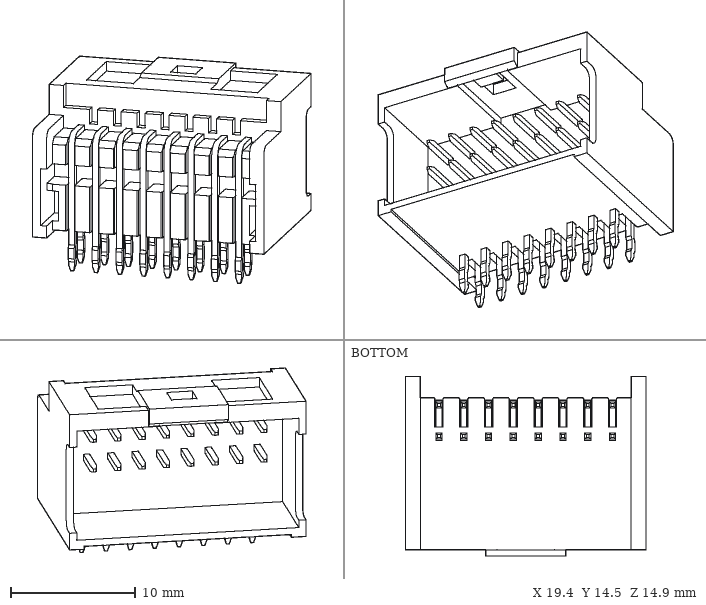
import cadquery as cq
import math


width = 19.4
body_depth = 13.99
body_height = 11.45
step_y = 4.99
wing_height = 8.95
wing_thickness = 1.2
wing_radius = 0.7
underside_relief = 0.23
notch_depth = 1.45
notch_bottom = 1.42
notch_top = 8.67
notch_radius = 0.7

tab_width = 6.48
tab_rise = 0.25
tab_overhang = 0.5
tab_slope_start = 8.96
tab_slope_length = 0.5
tab_end_bottom = 10.44
tab_root_bottom = 10.07
pocket_outer_x = 7.15
pocket_front_y = 7.12
pocket_back_y = 12.94
pocket_depth = 0.8
window_width = 2.1
window_front_y = 10.4
window_length = 2.0

cavity_wall = 0.6
cavity_floor = 0.8
cavity_ceiling = 10.03
cavity_front_y = 6.98
channel_width = 4.65
channel_ceiling = 10.7
hook_bottom = 10.35

recess_back_y = 5.7
recess_bottom = 9.6
castle_slot_width = 0.65
castle_slot_bottom = 8.4

comb_front_y = 1.7
comb_top = 7.9
comb_chamfer = 0.5
gap_bottom = 4.05
gap_top = 5.76
gap_back_y = 4.07
ear_reach = 0.5
ear_bottom = 3.5
ear_front_y = 1.82
side_notch_width = 1.0
side_notch_bottom = 1.0
slot_width = 0.64
slot_lead_x = 0.08
slot_lead_y = 0.12

pin_count = 8
pin_pitch = 2.0
pin_size = 0.5
pin_bend_radius = 1.0
pin_tip_size = 0.23
pin_tip_z = -3.2
pin_taper_z = -2.7
pin_end_y = 10.57
pin_end_taper = 0.5
row_pitch = 2.5
front_row_y = 2.3
front_row_z = 8.01
front_row_bow = -0.14
rear_row_bow = 0.1
bow_levels = (-0.99, -1.26, -2.11, -2.4)

overcut = 0.2
inner_half = width / 2 - wing_thickness
gap_half = inner_half + ear_reach
tab_top = body_height + tab_rise
window_back_y = window_front_y + window_length
pin_places = [(i - (pin_count - 1) / 2) * pin_pitch for i in range(pin_count)]
castle_places = [x + pin_pitch / 2 for x in pin_places[:-1]]


def block(x0, x1, y0, y1, z0, z1):
    """Box between two opposite corners."""
    return cq.Workplane("XY").box(x1 - x0, y1 - y0, z1 - z0, centered=False).translate((x0, y0, z0))


def side_prism(points, prism_width):
    """Closed (Y, Z) outline extruded along X, centred on X = 0."""
    return cq.Workplane("YZ").polyline(points).close().extrude(prism_width / 2, both=True)


def make_shell():
    """Side profile over the full width, cleared between the wings and below."""
    shell = side_prism(
        [(0, 0), (body_depth, 0), (body_depth, body_height), (step_y, body_height),
         (step_y, wing_height), (0, wing_height)], width)
    shell = shell.edges(cq.selectors.NearestToPointSelector((0, 0, wing_height))).fillet(wing_radius)
    notch = block(-width, width, body_depth - notch_depth, 2 * body_depth,
                  notch_bottom, notch_top)
    shell = shell.cut(notch.edges("|X and <Y").fillet(notch_radius))
    shell = shell.cut(block(-inner_half, inner_half, -overcut, step_y, -overcut, body_height))
    return shell.cut(block(-inner_half, inner_half, -overcut, body_depth + overcut,
                           -overcut, underside_relief))


def add_combs(housing):
    """Grooved block between the wings, split by the open band."""
    comb = side_prism(
        [(comb_front_y, underside_relief), (step_y, underside_relief), (step_y, comb_top),
         (comb_front_y + comb_chamfer, comb_top), (comb_front_y, comb_top - comb_chamfer)],
        2 * inner_half)
    trough_bottom = front_row_z - pin_size / 2
    half_slot = slot_width / 2
    half_mouth = half_slot + slot_lead_x
    lead_end_y = comb_front_y + slot_lead_y
    for x in pin_places:
        slot = cq.Workplane("XY").polyline([
            (x - half_mouth, comb_front_y), (x - half_slot, lead_end_y), (x - half_slot, gap_back_y),
            (x + half_slot, gap_back_y), (x + half_slot, lead_end_y), (x + half_mouth, comb_front_y),
        ]).close().extrude(comb_top)
        trough = block(x - half_slot, x + half_slot, comb_front_y, step_y, trough_bottom, comb_top)
        comb = comb.cut(slot).cut(trough)
    housing = housing.union(comb)

    housing = housing.cut(block(-gap_half, gap_half, -overcut, gap_back_y, gap_bottom, gap_top))
    for side in (-1, 1):
        notch_center = side * (gap_half - side_notch_width / 2)
        notch = block(-side_notch_width / 2, side_notch_width / 2, -overcut, gap_back_y,
                      side_notch_bottom, ear_bottom)
        ear_gap = block(-ear_reach / 2, ear_reach / 2, -overcut, ear_front_y, ear_bottom, gap_bottom)
        housing = housing.cut(notch.translate((notch_center, 0, 0)))
        housing = housing.cut(ear_gap.translate((side * (gap_half - ear_reach / 2), 0, 0)))
    return housing


def cut_front_recess(housing):
    """Recess above the combs, with castellation slots in its lower edge."""
    housing = housing.cut(block(-inner_half, inner_half, 0, recess_back_y, recess_bottom, body_height))
    for x in castle_places:
        housing = housing.cut(block(x - castle_slot_width / 2, x + castle_slot_width / 2,
                                    step_y, recess_back_y, castle_slot_bottom, recess_bottom))
    return housing


def cut_cavity(housing):
    """Plug cavity open at the mating face, with a raised channel under the latch."""
    half = width / 2 - cavity_wall
    housing = housing.cut(block(-half, half, cavity_front_y, body_depth, cavity_floor, cavity_ceiling))
    return housing.cut(block(-channel_width / 2, channel_width / 2, cavity_front_y, body_depth,
                             cavity_ceiling, channel_ceiling))


def add_latch(housing):
    """Raised tab with its hook, the window in front of the hook and the side pockets."""
    tab = side_prism(
        [(tab_slope_start, body_height), (tab_slope_start + tab_slope_length, tab_top),
         (body_depth + tab_overhang, tab_top), (body_depth + tab_overhang, tab_end_bottom),
         (body_depth, tab_root_bottom), (body_depth, body_height)], tab_width)
    hook = block(-window_width / 2, window_width / 2, window_back_y, body_depth,
                 hook_bottom, body_height)
    window = block(-window_width / 2, window_width / 2, window_front_y, window_back_y,
                   cavity_ceiling, tab_top)
    housing = housing.union(tab).union(hook).cut(window)
    pocket = block(tab_width / 2, pocket_outer_x, pocket_front_y, pocket_back_y,
                   body_height - pocket_depth, body_height)
    return housing.cut(pocket).cut(pocket.mirror("YZ"))


def make_pin(row_y, row_z, bow):
    """Square pin with a bowed, tapered tail, a right-angle bend and a tapered contact end."""
    half = pin_size / 2
    front, back = row_y - half, row_y + half
    top, bottom = row_z + half, row_z - half
    inner_radius = pin_bend_radius - pin_size
    bend_y = front + pin_bend_radius
    bend_z = top - pin_bend_radius
    diagonal = math.sqrt(0.5)
    bow_start, bow_full, bow_hold, bow_end = bow_levels
    end_y = pin_end_y - pin_end_taper
    pin = (
        cq.Workplane("YZ")
        .moveTo(front, pin_taper_z)
        .lineTo(front, bow_end)
        .lineTo(front + bow, bow_hold)
        .lineTo(front + bow, bow_full)
        .lineTo(front, bow_start)
        .lineTo(front, bend_z)
        .threePointArc((bend_y - pin_bend_radius * diagonal, bend_z + pin_bend_radius * diagonal),
                       (bend_y, top))
        .lineTo(end_y, top)
        .lineTo(end_y, bottom)
        .lineTo(bend_y, bottom)
        .threePointArc((bend_y - inner_radius * diagonal, bend_z + inner_radius * diagonal),
                       (back, bend_z))
        .lineTo(back, bow_start)
        .lineTo(back + bow, bow_full)
        .lineTo(back + bow, bow_hold)
        .lineTo(back, bow_end)
        .lineTo(back, pin_taper_z)
        .close()
        .extrude(half, both=True)
    )
    tail_tip = (
        cq.Workplane("XY", origin=(0, row_y, pin_tip_z)).rect(pin_tip_size, pin_tip_size)
        .workplane(offset=pin_taper_z - pin_tip_z).rect(pin_size, pin_size).loft()
    )
    contact_tip = (
        cq.Workplane("XZ", origin=(0, pin_end_y, row_z)).rect(pin_tip_size, pin_tip_size)
        .workplane(offset=pin_end_taper).rect(pin_size, pin_size).loft()
    )
    return pin.union(tail_tip).union(contact_tip)


housing = add_combs(make_shell())
housing = cut_front_recess(housing)
housing = cut_cavity(housing)
housing = add_latch(housing)

front_pin = make_pin(front_row_y, front_row_z, front_row_bow)
rear_pin = make_pin(front_row_y + row_pitch, front_row_z - row_pitch, rear_row_bow)

result = housing
for x in pin_places:
    result = result.union(front_pin.translate((x, 0, 0)))
    result = result.union(rear_pin.translate((x, 0, 0)))